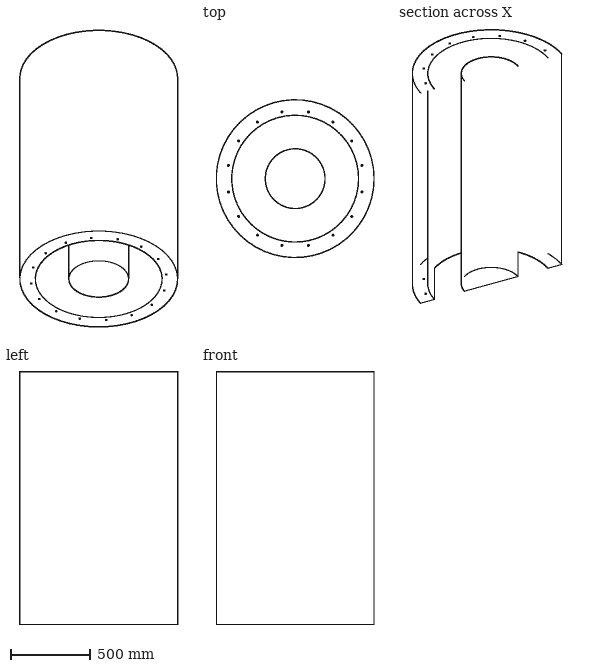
import cadquery as cq

height = 1600.0
sheet_thickness = 2.0
shell_outer_diameter = 1000.0
shell_inner_diameter = 800.0
core_diameter = 380.0

hole_count = 16
hole_diameter = 10.0
hole_circle_radius = 430.0
first_hole_angle = 360.0 / hole_count / 2

cavity_height = height - 2 * sheet_thickness
shell_cavity_outer_diameter = shell_outer_diameter - 2 * sheet_thickness
shell_cavity_inner_diameter = shell_inner_diameter + 2 * sheet_thickness
core_cavity_diameter = core_diameter - 2 * sheet_thickness


def ring(outer_diameter, inner_diameter, base, length):
    """Upright tube that starts at the given base height."""
    return (
        cq.Workplane("XY", origin=(0, 0, base))
        .circle(outer_diameter / 2)
        .circle(inner_diameter / 2)
        .extrude(length)
    )


def cylinder(diameter, base, length):
    """Upright solid cylinder that starts at the given base height."""
    return cq.Workplane("XY", origin=(0, 0, base)).circle(diameter / 2).extrude(length)


def plate_holes():
    """Round cutters for the ring of holes in both end plates."""
    return (
        cq.Workplane("XY")
        .polarArray(hole_circle_radius, first_hole_angle, 360.0, hole_count)
        .circle(hole_diameter / 2)
        .extrude(height)
    )


def make_shell():
    """Hollow double-walled tube of sheet with annular end plates and a ring of holes."""
    body = ring(shell_outer_diameter, shell_inner_diameter, 0, height)
    cavity = ring(
        shell_cavity_outer_diameter,
        shell_cavity_inner_diameter,
        sheet_thickness,
        cavity_height,
    )
    return body.cut(cavity).cut(plate_holes())


def make_core():
    """Hollow closed drum of sheet on the shell axis."""
    body = cylinder(core_diameter, 0, height)
    cavity = cylinder(core_cavity_diameter, sheet_thickness, cavity_height)
    return body.cut(cavity)


shell = make_shell()
core = make_core()

result = cq.Compound.makeCompound([shell.solids().val(), core.solids().val()])